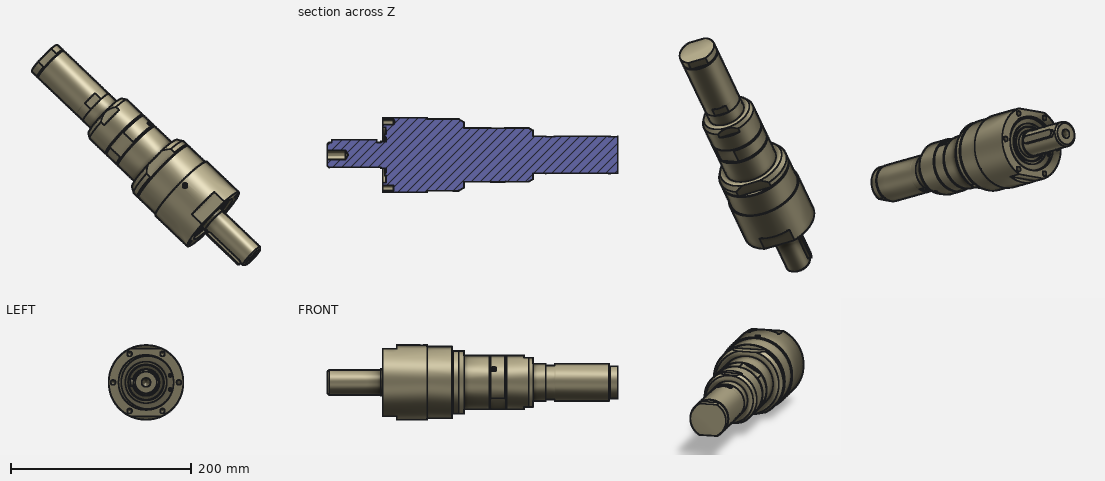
import cadquery as cq
import math


shaft_d = 28.0
shaft_chamfer = 2.0
collar_d = 30.0
collar_start = 59.5

key_start = 5.0
key_length = 50.0
key_width = 8.0
key_top = 17.0

body_start = 61.3
body_d = 83.0
body_end = 110.8
body_flat_af = 75.0
body_flat_length = 15.7

nut_d = 80.0
nut_groove_x = 138.8
nut_flat_af = 70.0
nut_taper_start = 145.6
nut_end = 151.6

barrel_d = 60.0
band_start = 180.5
band_end = 198.0
band_flat_af = 55.0
band_angle = 30.0
rear_flat_start = 218.2
rear_flat_af = 55.0
rear_taper_start = 223.2
rear_end = 228.2

tail_d = 41.5
neck_d = 41.3
tail_flat_start = 242.4
tail_flat_end = 251.9
neck_chamfer = 0.9
tail_flat_af = 38.0
end_flat_start = 312.6
end_flat_af = 36.0
total_length = 322.0
end_chamfer = 0.9
end_chamfer_depth = 0.3

groove_width = 2.0
groove_depth = 0.4
end_groove_width = 1.6
end_groove_depth = 0.3
taper_slope = math.tan(math.radians(30))

recess_d = 61.2
recess_depth = 3.4
ring_thickness = 0.4
ring_bore_d = 58.6
ring_bore_shift = 1.75
lug_hole_d = 3.6
lug_bore_d = 1.55
lug_hole_depth = 2.0
lug_hole_y = -26.9
lug_hole_z = 7.8
seal_boss_d = 46.0
seal_boss_height = 1.6
seal_steps = [(40.0, 0.9), (38.31, 1.8)]
ring_face = body_start + recess_depth
recess_floor = ring_face + ring_thickness
seal_face = recess_floor - seal_boss_height
seal_floor = seal_face + seal_steps[-1][1]

center_hole_d = 10.0
center_hole_depth = 20.0
bolt_hole_d = 5.5
bolt_hole_depth = 12.0
bolt_circle_d = 73.0
bolt_count = 6
flat_bottom_hole = 3
drill_point_angle = 118.0
body_port_x = 104.8
body_port_d = 5.5
band_port_x = 184.7
band_port_d = 5.5
port_depth = 4.0
port_bore_d = 3.3
port_bore_depth = 8.0


def rod(diameter, start, end):
    """Cylinder along the X axis."""
    return cq.Workplane("YZ", origin=(start, 0, 0)).circle(diameter / 2).extrude(end - start)


def flat_pair(across_flats, diameter, start, end, angle=0.0):
    """Material outside two opposite flats; angle turns their normals from Z toward +Y."""
    height = diameter / 2
    slabs = cq.Workplane("XY")
    for side in (1, -1):
        slab = cq.Workplane("XY").box(end - start, 2 * diameter, height)
        slab = slab.translate(((start + end) / 2, 0, side * (across_flats + height) / 2))
        slabs = slabs.add(slab)
    return slabs.combine().rotate((0, 0, 0), (1, 0, 0), -angle)


def v_groove(diameter, center, width, depth):
    """Ring with a triangular section that cuts a V groove."""
    radius = diameter / 2
    profile = cq.Workplane("XY").polyline([
        (center - width / 2, radius),
        (center, radius - depth),
        (center + width / 2, radius),
    ])
    return profile.close().revolve(360, (0, 0, 0), (1, 0, 0))


def drilled_hole(diameter, depth, start, y=0.0, z=0.0):
    """Blind hole along +X with a conical drill point."""
    radius = diameter / 2
    point = radius / math.tan(math.radians(drill_point_angle / 2))
    profile = cq.Workplane("XY").polyline([(0, 0), (0, radius), (depth, radius), (depth + point, 0)])
    return profile.close().revolve(360, (0, 0, 0), (1, 0, 0)).translate((start, y, z))


def turned_body():
    """Clamping body, gland nut, barrel and tail."""
    nut_end_r = nut_d / 2 - (nut_end - nut_taper_start) * taper_slope
    rear_end_r = barrel_d / 2 - (rear_end - rear_taper_start) * taper_slope
    profile = cq.Workplane("XY").polyline([
        (body_start, 0),
        (body_start, body_d / 2),
        (body_end, body_d / 2),
        (body_end, nut_d / 2),
        (nut_taper_start, nut_d / 2),
        (nut_end, nut_end_r),
        (nut_end, barrel_d / 2),
        (rear_taper_start, barrel_d / 2),
        (rear_end, rear_end_r),
        (rear_end, tail_d / 2),
        (tail_flat_start, tail_d / 2),
        (tail_flat_start, neck_d / 2),
        (tail_flat_end, neck_d / 2),
        (tail_flat_end + neck_chamfer, tail_d / 2),
        (total_length - end_chamfer, tail_d / 2),
        (total_length, tail_d / 2 - end_chamfer_depth),
        (total_length, 0),
    ])
    return profile.close().revolve(360, (0, 0, 0), (1, 0, 0))


def cut_grooves(part):
    part = part.cut(v_groove(nut_d, nut_groove_x, groove_width, groove_depth))
    for x in (band_start, band_end):
        part = part.cut(v_groove(barrel_d, x, groove_width, groove_depth))
    return part.cut(v_groove(tail_d, end_flat_start, end_groove_width, end_groove_depth))


def cut_flats(part):
    part = part.cut(flat_pair(body_flat_af, body_d, body_start, body_start + body_flat_length))
    part = part.cut(flat_pair(nut_flat_af, nut_d, nut_groove_x, nut_end))
    part = part.cut(flat_pair(band_flat_af, barrel_d, band_start, band_end, band_angle))
    part = part.cut(flat_pair(rear_flat_af, barrel_d, rear_flat_start, rear_end))
    part = part.cut(flat_pair(tail_flat_af, tail_d, tail_flat_start, tail_flat_end))
    return part.cut(flat_pair(end_flat_af, tail_d, end_flat_start, total_length))


def add_shaft(part):
    """Chamfered shaft and its collar, rising from the floor of the seal recess."""
    profile = cq.Workplane("XY").polyline([
        (0, 0),
        (0, shaft_d / 2 - shaft_chamfer),
        (shaft_chamfer, shaft_d / 2),
        (collar_start, shaft_d / 2),
        (collar_start, collar_d / 2),
        (seal_floor, collar_d / 2),
        (seal_floor, 0),
    ])
    return part.union(profile.close().revolve(360, (0, 0, 0), (1, 0, 0)))


def add_key(part):
    """Round-ended key standing on the +Y side of the shaft."""
    key = cq.Workplane("XZ").center(key_start + key_length / 2, 0).slot2D(key_length, key_width)
    return part.union(key.extrude(-key_top))


def cut_seal_recess(part):
    """Recess with an eccentric retaining ring and a raised seal around the shaft."""
    recess = rod(recess_d, body_start, ring_face)
    ring_bore = rod(ring_bore_d, ring_face, recess_floor).translate((0, -ring_bore_shift, 0))
    ring_bore = ring_bore.intersect(rod(recess_d, ring_face, recess_floor))
    cutter = recess.union(ring_bore).cut(rod(seal_boss_d, seal_face, recess_floor))
    for diameter, depth in seal_steps:
        cutter = cutter.union(rod(diameter, body_start, seal_face + depth))
    part = part.cut(cutter)
    for z in (lug_hole_z, -lug_hole_z):
        lug_hole = rod(lug_hole_d, recess_floor, recess_floor + lug_hole_depth)
        lug_bore = rod(lug_bore_d, recess_floor, recess_floor + 2 * lug_hole_depth)
        part = part.cut(lug_hole.union(lug_bore).translate((0, lug_hole_y, z)))
    return part


def cut_end_holes(part):
    part = part.cut(drilled_hole(center_hole_d, center_hole_depth, 0))
    for i in range(bolt_count):
        angle = 2 * math.pi * i / bolt_count
        y = bolt_circle_d / 2 * math.cos(angle)
        z = bolt_circle_d / 2 * math.sin(angle)
        if i == flat_bottom_hole:
            hole = rod(bolt_hole_d, body_start, body_start + bolt_hole_depth).translate((0, y, z))
        else:
            hole = drilled_hole(bolt_hole_d, bolt_hole_depth, body_start, y, z)
        part = part.cut(hole)
    return part


def radial_port(diameter, x, surface_d, angle):
    """Blind radial hole with a narrower bore below; angle turns it from Z toward +Y."""
    surface = surface_d / 2
    port = cq.Workplane("XY", origin=(x, 0, surface)).circle(diameter / 2).extrude(-port_depth)
    bore = cq.Workplane("XY", origin=(x, 0, surface)).circle(port_bore_d / 2).extrude(-port_bore_depth)
    return port.union(bore).rotate((0, 0, 0), (1, 0, 0), -angle)


def cut_ports(part):
    part = part.cut(radial_port(body_port_d, body_port_x, body_d, 0))
    return part.cut(radial_port(band_port_d, band_port_x, barrel_d, band_angle - 90))


result = turned_body()
result = cut_grooves(result)
result = cut_flats(result)
result = cut_seal_recess(result)
result = add_shaft(result)
result = add_key(result)
result = cut_end_holes(result)
result = cut_ports(result)